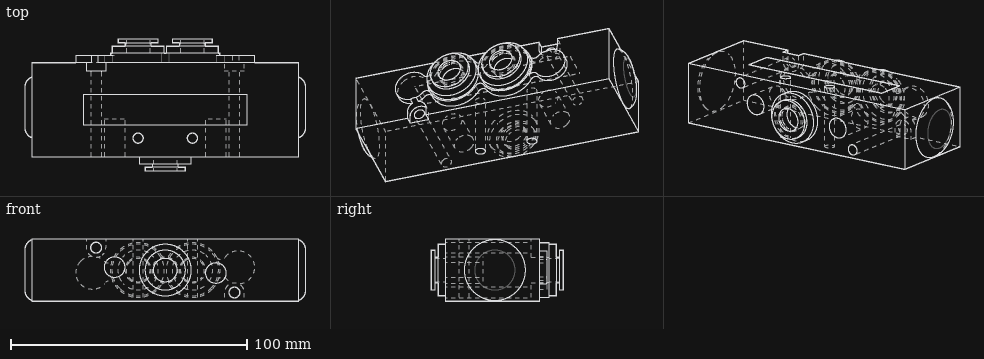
import math

import cadquery as cq

BODY_LENGTH = 113.0
BODY_DEPTH = 40.0
BODY_HEIGHT = 26.5
END = BODY_LENGTH / 2
BACK = BODY_DEPTH / 2
FRONT = -BACK
TOP = BODY_HEIGHT / 2

CAP_DIAMETER = BODY_HEIGHT
CAP_FACE_DIAMETER = 17.0
CAP_ROUND = (CAP_DIAMETER - CAP_FACE_DIAMETER) / 2
CAP_PROJECTION = 3.0
CAP_Y = 1.0

SLEEVE_DIAMETER = 22.0
NECK_DIAMETER = 11.0
NECK_LENGTH = 1.3
RELEASE_RING_DIAMETER = 17.0
RELEASE_RING_LENGTH = 1.7
BORE_DIAMETER = 10.0
BORE_DEPTH = 6.0
FRONT_FITTING_PROJECTION = 6.0
BACK_FITTING_PROJECTION = 10.0
BACK_FITTING_X = 11.5

DISC_RADIUS = 11.65
DISC_HEIGHT = 4.0
LOBE_RADIUS = 7.0
LOBE_HEIGHT = 3.0
LOBE_X = 30.85
LOBE_Z = 1.15
BLEND_RADIUS = 2.0

CROSS_HOLE_DIAMETER = 4.2
CROSS_HOLE_X = BACK_FITTING_X
CROSS_HOLE_Y = -12.0

MOUNT_HOLE_DIAMETER = 4.5
MOUNT_X = 29.3
MOUNT_Z = 9.5
SCREW_SLOT_WIDTH = 8.2
SCREW_SLOT_DEPTH = 3.6

EXHAUST_DIAMETER = 8.7
EXHAUST_DEPTH = 16.0
EXHAUST_X = 21.45
EXHAUST_Z = 1.25

LABEL_LENGTH = 69.3
LABEL_WIDTH = 13.0
LABEL_DEPTH = 0.1

SIDES = (-1, 1)


def cylinder_y(x, z, y_start, y_end, diameter):
    """Cylinder along Y between two Y positions."""
    start = cq.Vector(x, min(y_start, y_end), z)
    return cq.Workplane(cq.Solid.makeCylinder(diameter / 2, abs(y_end - y_start), start, cq.Vector(0, 1, 0)))


def end_cap(side):
    """Cap turned about an X axis: a flat face with a quarter-round rim cut off by the body end."""
    face_radius = CAP_FACE_DIAMETER / 2
    round_centre_x = CAP_PROJECTION - CAP_ROUND
    base_radius = face_radius + math.sqrt(CAP_ROUND**2 - round_centre_x**2)
    middle_angle = (math.asin(-round_centre_x / CAP_ROUND) + math.pi / 2) / 2
    middle_x = round_centre_x + CAP_ROUND * math.sin(middle_angle)
    middle_radius = face_radius + CAP_ROUND * math.cos(middle_angle)
    profile = (
        cq.Workplane("XY")
        .lineTo(0, base_radius)
        .threePointArc((middle_x, middle_radius), (CAP_PROJECTION, face_radius))
        .lineTo(CAP_PROJECTION, 0)
        .close()
    )
    cap = profile.revolve(360, (0, 0, 0), (1, 0, 0)).translate((END, CAP_Y, 0))
    return cap if side > 0 else cap.mirror("YZ")


def fitting(x, face_y, projection, outward):
    """Solid outside of a tube fitting; outward is the Y direction (+1 or -1)."""
    tip_y = face_y + outward * projection
    ring_y = tip_y - outward * RELEASE_RING_LENGTH
    sleeve_y = ring_y - outward * NECK_LENGTH
    sleeve = cylinder_y(x, 0, face_y, sleeve_y, SLEEVE_DIAMETER)
    neck = cylinder_y(x, 0, face_y, tip_y, NECK_DIAMETER)
    ring = cylinder_y(x, 0, ring_y, tip_y, RELEASE_RING_DIAMETER)
    return sleeve.union(neck).union(ring)


def fitting_bore(x, face_y, projection, outward):
    tip_y = face_y + outward * projection
    return cylinder_y(x, 0, tip_y, tip_y - outward * BORE_DEPTH, BORE_DIAMETER)


def blended_discs(centre_a, radius_a, centre_b, radius_b, height):
    """Two discs on the back face joined by a web with a concave blend arc on both flanks."""
    span_x = centre_b[0] - centre_a[0]
    span_z = centre_b[1] - centre_a[1]
    span = math.hypot(span_x, span_z)
    reach_a = radius_a + BLEND_RADIUS
    reach_b = radius_b + BLEND_RADIUS
    along = (span**2 + reach_a**2 - reach_b**2) / (2 * span)
    across = math.sqrt(reach_a**2 - along**2)

    def place(along_span, across_span):
        x = centre_a[0] + (along_span * span_x - across_span * span_z) / span
        z = centre_a[1] + (along_span * span_z + across_span * span_x) / span
        return x, z

    along_a = along * radius_a / reach_a
    along_b = span - (span - along) * radius_b / reach_b
    across_a = across * radius_a / reach_a
    across_b = across * radius_b / reach_b
    across_waist = across - BLEND_RADIUS
    web = (
        cq.Workplane("XZ", origin=(0, BACK + height, 0))
        .moveTo(*place(along_a, across_a))
        .threePointArc(place(along, across_waist), place(along_b, across_b))
        .lineTo(*place(along_b, -across_b))
        .threePointArc(place(along, -across_waist), place(along_a, -across_a))
        .close()
        .extrude(height)
    )
    disc_a = cylinder_y(*centre_a, BACK, BACK + height, 2 * radius_a)
    disc_b = cylinder_y(*centre_b, BACK, BACK + height, 2 * radius_b)
    return web.union(disc_a).union(disc_b)


def back_pad():
    left_disc = (-BACK_FITTING_X, 0)
    right_disc = (BACK_FITTING_X, 0)
    pad = blended_discs(left_disc, DISC_RADIUS, right_disc, DISC_RADIUS, DISC_HEIGHT)
    for side in SIDES:
        disc = (side * BACK_FITTING_X, 0)
        lobe = (side * LOBE_X, side * LOBE_Z)
        pad = pad.union(blended_discs(disc, DISC_RADIUS, lobe, LOBE_RADIUS, LOBE_HEIGHT))
    return pad


def mounting_cut(side):
    """Through hole and round-bottomed head slot, open to the nearer of the top and bottom faces."""
    x = side * MOUNT_X
    z = -side * MOUNT_Z
    seat_y = BACK - SCREW_SLOT_DEPTH
    slot_end_y = BACK + LOBE_HEIGHT
    hole = cylinder_y(x, z, FRONT, BACK, MOUNT_HOLE_DIAMETER)
    head = cylinder_y(x, z, seat_y, slot_end_y, SCREW_SLOT_WIDTH)
    opening = cq.Workplane().box(SCREW_SLOT_WIDTH, slot_end_y - seat_y, TOP - MOUNT_Z)
    opening = opening.translate((x, (seat_y + slot_end_y) / 2, -side * (TOP + MOUNT_Z) / 2))
    return hole.union(head).union(opening)


def cross_hole(side):
    hole = cq.Workplane().circle(CROSS_HOLE_DIAMETER / 2).extrude(BODY_HEIGHT)
    return hole.translate((side * CROSS_HOLE_X, CROSS_HOLE_Y, -TOP))


def exhaust_hole(side):
    return cylinder_y(side * EXHAUST_X, -side * EXHAUST_Z, FRONT, FRONT + EXHAUST_DEPTH, EXHAUST_DIAMETER)


def label_recess():
    label = cq.Workplane().box(LABEL_LENGTH, LABEL_WIDTH, LABEL_DEPTH)
    return label.translate((0, 0, TOP - LABEL_DEPTH / 2))


def valve():
    fittings = [(0, FRONT, FRONT_FITTING_PROJECTION, -1)]
    for side in SIDES:
        fittings.append((side * BACK_FITTING_X, BACK, BACK_FITTING_PROJECTION, 1))

    part = cq.Workplane().box(BODY_LENGTH, BODY_DEPTH, BODY_HEIGHT).union(back_pad())
    for side in SIDES:
        part = part.union(end_cap(side))
    for placement in fittings:
        part = part.union(fitting(*placement))

    for placement in fittings:
        part = part.cut(fitting_bore(*placement))
    for side in SIDES:
        part = part.cut(mounting_cut(side))
        part = part.cut(cross_hole(side))
        part = part.cut(exhaust_hole(side))
    return part.cut(label_recess())


result = valve()